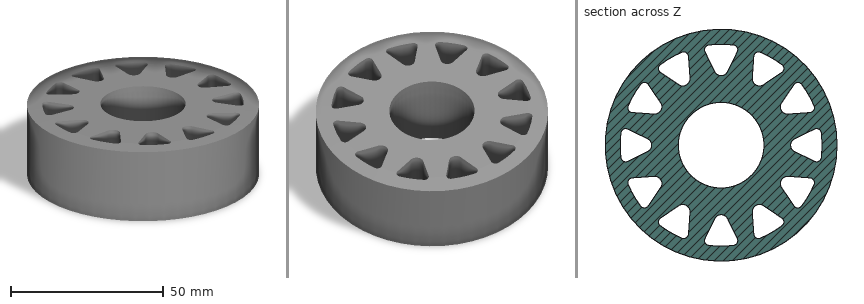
import cadquery as cq
import math

wheel_diameter = 76.2
wheel_width = 25.4
bore_diameter = 27.94

hub_diameter = 63.5
rim_drop = 0.3

window_count = 12
window_inner_radius = 22.86
window_outer_radius = 33.02
window_half_angle = 26.0
window_tip_radius = 2.3
window_corner_radius = 1.5

wheel_radius = wheel_diameter / 2
bore_radius = bore_diameter / 2
hub_radius = hub_diameter / 2
half_width = wheel_width / 2
rim_half_width = half_width - rim_drop


def make_wheel_body():
    """Revolve the bored wheel section about Z, centred on the XY plane."""
    section = [
        (bore_radius, -half_width),
        (hub_radius, -half_width),
        (wheel_radius, -rim_half_width),
        (wheel_radius, rim_half_width),
        (hub_radius, half_width),
        (bore_radius, half_width),
    ]
    return cq.Workplane("XZ").polyline(section).close().revolve(360, (0, 0, 0), (0, 1, 0))


def make_window():
    """Through cutter for the window on +Y: a wedge closed by an arc about the wheel axis."""
    slope = math.radians(window_half_angle)
    apex_y = window_inner_radius + window_tip_radius - window_tip_radius / math.sin(slope)
    corner_angle = slope - math.asin(apex_y * math.sin(slope) / window_outer_radius)
    corner_x = window_outer_radius * math.sin(corner_angle)
    corner_y = window_outer_radius * math.cos(corner_angle)
    window = (
        cq.Workplane("XY", origin=(0, 0, -half_width))
        .moveTo(0, apex_y)
        .lineTo(corner_x, corner_y)
        .threePointArc((0, window_outer_radius), (-corner_x, corner_y))
        .close()
        .extrude(wheel_width)
    )
    window = window.edges("|Z and <Y").fillet(window_tip_radius)
    return window.edges("|Z and (>X or <X)").fillet(window_corner_radius)


def cut_windows(body):
    """Cut the ring of equally spaced windows."""
    window = make_window()
    for index in range(window_count):
        angle = index * 360 / window_count
        body = body.cut(window.rotate((0, 0, 0), (0, 0, 1), angle))
    return body


result = cut_windows(make_wheel_body())